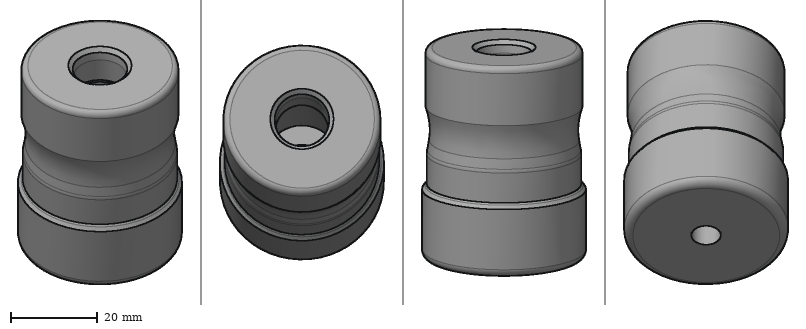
import cadquery as cq
import math

total_height = 50.3

base_diameter = 38.1
base_radius = base_diameter / 2
base_bottom_fillet = 2.0
base_side_top_z = 16.4
base_bevel_top_z = 17.3
base_bevel_top_radius = 18.3
base_top_z = 17.7

head_radius = 18.25
head_top_fillet = 1.5
head_bottom_z = 36.3
waist_radius = 17.25
waist_z = 30.7
waist_arc_end_z = 28.15
blend_top_z = 25.75
blend_bottom_z = 24.9
lower_radius = 17.95

bore_mouth_radius = 7.35
bore_radius = 6.35
bore_lower_radius = 6.1
bore_taper_depth = 2.9
bore_flare_depth = 8.8
cavity_radius = 8.55

hole_radius = 3.4
hole_chamfer = 0.5

head_rise = head_bottom_z - waist_z
head_step = head_radius - waist_radius
waist_arc_radius = (head_rise**2 + head_step**2) / (2 * head_step)


def waist_surface_radius(z):
    """Radius of the part at height z on the concave waist arc."""
    return waist_radius + waist_arc_radius - math.sqrt(waist_arc_radius**2 - (z - waist_z) ** 2)


cone_angle = math.asin((waist_z - waist_arc_end_z) / waist_arc_radius)
waist_arc_end_radius = waist_surface_radius(waist_arc_end_z)
cone_end_radius = waist_arc_end_radius + (waist_arc_end_z - blend_top_z) * math.tan(cone_angle)


def make_base():
    """Flat puck with a rounded bottom edge, a two-step bevel on top and a chamfered through hole."""
    profile = (
        cq.Workplane("XZ")
        .moveTo(hole_radius, 0)
        .lineTo(base_radius - base_bottom_fillet, 0)
        .radiusArc((base_radius, base_bottom_fillet), -base_bottom_fillet)
        .lineTo(base_radius, base_side_top_z)
        .lineTo(base_bevel_top_radius, base_bevel_top_z)
        .lineTo(lower_radius, base_top_z)
        .lineTo(hole_radius + hole_chamfer, base_top_z)
        .lineTo(hole_radius, base_top_z - hole_chamfer)
        .close()
    )
    return profile.revolve(360, (0, 0, 0), (0, 1, 0))


def make_upper_blank():
    """Waisted upper body before boring, standing on the base."""
    profile = (
        cq.Workplane("XZ")
        .moveTo(0, base_top_z)
        .lineTo(lower_radius, base_top_z)
        .lineTo(lower_radius, blend_bottom_z)
        .tangentArcPoint((cone_end_radius, blend_top_z), relative=False)
        .lineTo(waist_arc_end_radius, waist_arc_end_z)
        .threePointArc((waist_radius, waist_z), (head_radius, head_bottom_z))
        .lineTo(head_radius, total_height - head_top_fillet)
        .radiusArc((head_radius - head_top_fillet, total_height), -head_top_fillet)
        .lineTo(0, total_height)
        .close()
    )
    return profile.revolve(360, (0, 0, 0), (0, 1, 0))


def make_bore():
    """Cutter for the bore, tapered below its mouth, flaring at 45 degrees into a cavity open to the base."""
    mouth_chamfer = bore_mouth_radius - bore_radius
    taper_end_z = total_height - bore_taper_depth
    flare_z = total_height - bore_flare_depth
    cavity_top_z = flare_z - (cavity_radius - bore_lower_radius)
    profile = (
        cq.Workplane("XZ")
        .moveTo(0, base_top_z)
        .lineTo(cavity_radius, base_top_z)
        .lineTo(cavity_radius, cavity_top_z)
        .lineTo(bore_lower_radius, flare_z)
        .lineTo(bore_lower_radius, taper_end_z)
        .lineTo(bore_radius, total_height - mouth_chamfer)
        .lineTo(bore_mouth_radius, total_height)
        .lineTo(0, total_height)
        .close()
    )
    return profile.revolve(360, (0, 0, 0), (0, 1, 0))


base = make_base()
upper_body = make_upper_blank().cut(make_bore())

result = cq.Compound.makeCompound([base.val(), upper_body.val()])